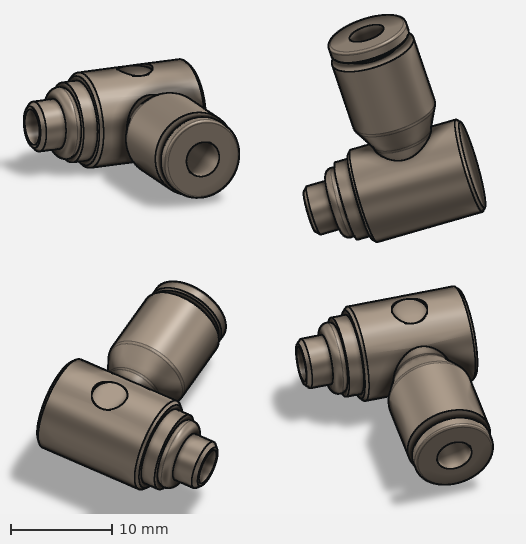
import cadquery as cq


body_radius = 4.75
body_back_y = 5.73
body_front_y = -5.78
body_chamfer = 0.32
collar_radius = 3.98
collar_front_y = -7.27
spigot_radius = 2.5
spigot_front_y = -11.05
spigot_chamfer = 0.43

ring_outer_radius = 3.58
ring_section_radius = 0.79
ring_front_y = -8.57

recess_radius = 1.77
recess_depth = 0.36

neck_radius = 2.98
cone_start_x = 4.88
cone_end_x = 7.37
sleeve_radius = 4.25
sleeve_end_x = 14.55
cone_start_fillet = 0.55
cone_end_fillet = 0.7

collet_radius = 2.6
flange_radius = 4.03
flange_start_x = 15.25
flange_end_x = 16.55
flange_chamfer = 0.2
flange_fillet = 0.25

bore_radius = 1.77


def cylinder_y(radius, start_y, end_y):
    """Cylinder around the Y axis, running towards -Y from start_y to end_y."""
    return cq.Workplane("XZ", origin=(0, start_y, 0)).circle(radius).extrude(start_y - end_y)


def cylinder_x(radius, start_x, end_x):
    """Cylinder around the X axis, running towards +X from start_x to end_x."""
    return cq.Workplane("YZ", origin=(start_x, 0, 0)).circle(radius).extrude(end_x - start_x)


def round_ring_edge(arm, x, radius):
    """Fillet the circular edge of the arm that is centred on the X axis at x."""
    return arm.edges(cq.NearestToPointSelector((x, 0, 0))).fillet(radius)


def make_body():
    barrel = cylinder_y(body_radius, body_back_y, body_front_y).faces("<Y or >Y").chamfer(body_chamfer)
    collar = cylinder_y(collar_radius, 0, collar_front_y)
    spigot = cylinder_y(spigot_radius, 0, spigot_front_y).faces("<Y").chamfer(spigot_chamfer)
    recess = (
        cq.Workplane("XY", origin=(0, 0, body_radius - recess_depth))
        .circle(recess_radius)
        .extrude(recess_depth)
    )
    return barrel.cut(recess).union(collar).union(spigot)


def make_sealing_ring():
    section_centre_radius = ring_outer_radius - ring_section_radius
    section_centre_y = ring_front_y + ring_section_radius
    return (
        cq.Workplane("XY")
        .center(section_centre_radius, section_centre_y)
        .circle(ring_section_radius)
        .revolve(360, (-section_centre_radius, 0), (-section_centre_radius, 1))
    )


def make_arm():
    outline = [
        (0, 0),
        (0, neck_radius),
        (cone_start_x, neck_radius),
        (cone_end_x, sleeve_radius),
        (sleeve_end_x, sleeve_radius),
        (sleeve_end_x, 0),
    ]
    arm = cq.Workplane("XY").polyline(outline).close().revolve(360, (0, 0), (1, 0))
    arm = round_ring_edge(arm, cone_start_x, cone_start_fillet)
    return round_ring_edge(arm, cone_end_x, cone_end_fillet)


def make_collet():
    stem = cylinder_x(collet_radius, sleeve_end_x, flange_start_x)
    flange = cylinder_x(flange_radius, flange_start_x, flange_end_x)
    flange = flange.faces("<X").chamfer(flange_chamfer).faces(">X").edges().fillet(flange_fillet)
    return stem.union(flange)


def make_passage():
    """Elbow-shaped flow passage with a spherical corner where the two bores meet."""
    spigot_bore = cylinder_y(bore_radius, 0, spigot_front_y)
    arm_bore = cylinder_x(bore_radius, 0, flange_end_x)
    corner = cq.Workplane("XY").sphere(bore_radius)
    return spigot_bore.union(arm_bore).union(corner)


result = (
    make_body()
    .union(make_sealing_ring())
    .union(make_arm())
    .union(make_collet())
    .cut(make_passage())
)